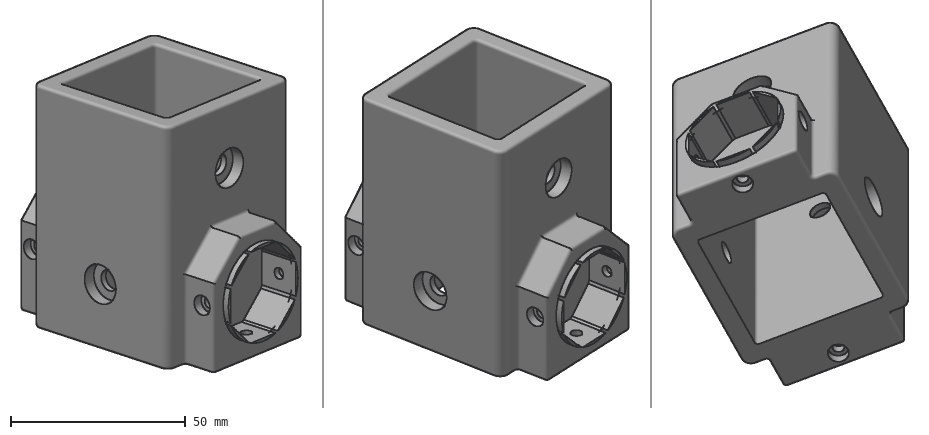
import cadquery as cq
import math

tube_width = 52.4
tube_height = 75.0
wall = 6.0
tube_corner_radius = 3.0
bore_corner_radius = 1.0
edge_radius = 1.0

cross_hole_diameter = 6.4
cross_bore_diameter = 12.0
cross_bore_depth = 4.0
hole_height_along_y = 20.0
hole_height_along_x = 55.0

boss_length = 11.0
socket_diameter = 30.0
socket_across_flats = 28.1
socket_wall = 5.0
socket_height = 20.0
lip_length = 2.0

screw_hole_diameter = 3.4
screw_head_diameter = 6.0
screw_head_depth = 3.0

octagon_sides = 8
tube_half = tube_width / 2
bore_width = tube_width - 2 * wall
boss_end = tube_half + boss_length
lip_end = boss_end + lip_length
socket_depth = lip_end - tube_half
screw_reach = socket_height - socket_across_flats / 4
screw_x = tube_half + socket_depth / 2
boss_half = socket_across_flats / 2 + socket_wall
half_sector = 360 / octagon_sides / 2
half_sector_radians = math.radians(half_sector)
boss_shoulder = boss_half * math.tan(half_sector_radians)


def make_tube():
    """Outer block of the tube with rounded upright edges."""
    block = cq.Workplane("XY").rect(tube_width, tube_width).extrude(tube_height)
    return block.edges("|Z").fillet(tube_corner_radius)


def make_bosses():
    """Half-octagon bosses on straight legs that reach the base, spanning both X sides."""
    shoulder_height = socket_height + boss_shoulder
    top_height = socket_height + boss_half
    outline = [
        (-boss_half, 0),
        (boss_half, 0),
        (boss_half, shoulder_height),
        (boss_shoulder, top_height),
        (-boss_shoulder, top_height),
        (-boss_half, shoulder_height),
    ]
    return cq.Workplane("YZ").polyline(outline).close().extrude(boss_end, both=True)


def round_boss_roots(body):
    """Fillet the inside corners where the bosses leave the tube walls."""
    margin = 0.1
    boss_top = socket_height + boss_half
    for side in (-1, 1):
        near = (side * (tube_half - margin), -boss_half - margin, margin)
        far = (side * (tube_half + margin), boss_half + margin, boss_top + margin)
        body = body.edges(cq.selectors.BoxSelector(near, far)).fillet(edge_radius)
    return body


def make_bore():
    """Square through bore of the tube."""
    bore = cq.Workplane("XY").rect(bore_width, bore_width).extrude(tube_height)
    return bore.edges("|Z").fillet(bore_corner_radius)


def counterbored_hole(plane, hole_diameter, head_diameter, head_depth, length):
    """Counterbored cutter that starts on the given plane and follows its normal."""
    hole = cq.Workplane(plane).circle(hole_diameter / 2).extrude(length)
    head = cq.Workplane(plane).circle(head_diameter / 2).extrude(head_depth)
    return hole.union(head)


def cross_hole(origin, direction):
    """Counterbored hole through one tube wall."""
    plane = cq.Plane(origin=origin, normal=direction)
    return counterbored_hole(plane, cross_hole_diameter, cross_bore_diameter, cross_bore_depth, tube_half)


def screw_hole(origin, direction):
    """Counterbored hole from a boss face to the socket."""
    plane = cq.Plane(origin=origin, normal=direction, xDir=(1, 0, 0))
    return counterbored_hole(plane, screw_hole_diameter, screw_head_diameter, screw_head_depth, screw_reach)


def make_socket_cylinder(side):
    """Cylinder from the tube wall to the end of the lips."""
    base = cq.Workplane("YZ", origin=(side * tube_half, 0, socket_height))
    return base.circle(socket_diameter / 2).extrude(side * socket_depth)


def make_socket_octagon(side):
    """Octagonal cavity with flats square to Y and Z."""
    base = cq.Workplane("YZ", origin=(side * tube_half, 0, socket_height))
    corners = base.transformed(rotate=(0, 0, half_sector))
    across_corners = socket_across_flats / math.cos(half_sector_radians)
    return corners.polygon(octagon_sides, across_corners).extrude(side * socket_depth)


def add_socket(body, side):
    """Bore one boss, line it with eight flat lips and drill its screw holes."""
    cylinder = make_socket_cylinder(side)
    lips = cylinder.cut(make_socket_octagon(side))
    body = body.cut(cylinder).union(lips)
    x = side * screw_x
    for y_side in (-1, 1):
        body = body.cut(screw_hole((x, y_side * boss_half, socket_height), (0, -y_side, 0)))
    return body.cut(screw_hole((x, 0, 0), (0, 0, 1)))


body = round_boss_roots(make_tube().union(make_bosses()))
body = body.faces("<X or >X or <Z").edges().fillet(edge_radius)

body = body.cut(make_bore())
body = body.faces(">Z").edges().fillet(edge_radius)

for side in (-1, 1):
    body = add_socket(body, side)
    body = body.cut(cross_hole((side * tube_half, 0, hole_height_along_x), (-side, 0, 0)))
    body = body.cut(cross_hole((0, side * tube_half, hole_height_along_y), (0, -side, 0)))

result = body